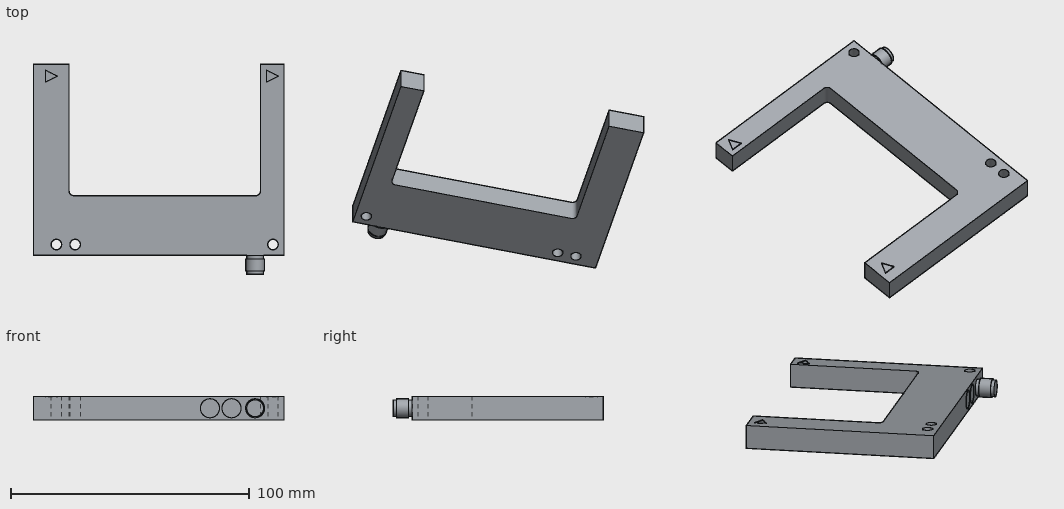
import cadquery as cq

length = 105.0
overall_depth = 88.0
body_depth = 80.0
thickness = 10.0
left_arm_width = 15.0
right_arm_width = 10.0
gap_depth = 55.0
gap_corner_radius = 2.0

hole_diameter = 4.3
hole_x_positions = (9.7, 17.5, 100.3)
hole_y = 4.5

connector_x = 92.8
neck_diameter = 7.0
collar_diameter = 8.0
collar_length = 5.0
neck_length = (overall_depth - body_depth - collar_length) / 2
connector_steps = (
    (neck_diameter, neck_length),
    (collar_diameter, collar_length),
    (neck_diameter, neck_length),
)

recess_diameter = 8.0
recess_x_positions = (73.9, 83.0)
recess_depth = 0.2

triangle_size = 5.0
left_triangle_inset = 5.0
right_triangle_inset = 2.5
triangle_x_positions = (left_triangle_inset, length - right_arm_width + right_triangle_inset)
triangle_tip_distance = 5.0
triangle_center_y = body_depth - triangle_tip_distance
triangle_depth = 0.3


def make_body():
    """U-shaped plate with rounded inner corners."""
    plate = cq.Workplane("XY").box(length, body_depth, thickness, centered=(False, False, True))
    gap_width = length - left_arm_width - right_arm_width
    gap = (
        cq.Workplane("XY")
        .box(gap_width, gap_depth, thickness, centered=(False, False, True))
        .edges("|Z and <Y")
        .fillet(gap_corner_radius)
        .translate((left_arm_width, body_depth - gap_depth, 0))
    )
    return plate.cut(gap)


def y_cylinder(diameter, height, x, y_start):
    """Cylinder whose axis runs along +Y from y_start."""
    axis_start = cq.Vector(x, y_start, 0)
    return cq.Workplane(cq.Solid.makeCylinder(diameter / 2, height, axis_start, cq.Vector(0, 1, 0)))


def make_connector():
    """Stepped cylinder built outwards from the front face."""
    connector = cq.Workplane("XY")
    y_end = 0.0
    for diameter, step_length in connector_steps:
        y_end -= step_length
        connector = connector.union(y_cylinder(diameter, step_length, connector_x, y_end))
    return connector


def make_triangle(x):
    """Cutter for one engraved triangle with its upright edge at x."""
    return (
        cq.Workplane("XY", origin=(x, triangle_center_y, thickness / 2))
        .moveTo(0, -triangle_size / 2)
        .lineTo(triangle_size, 0)
        .lineTo(0, triangle_size / 2)
        .close()
        .extrude(-triangle_depth)
    )


result = make_body()

for x in hole_x_positions:
    hole = cq.Workplane("XY").center(x, hole_y).circle(hole_diameter / 2).extrude(thickness, both=True)
    result = result.cut(hole)

for x in recess_x_positions:
    result = result.cut(y_cylinder(recess_diameter, recess_depth, x, 0))

for x in triangle_x_positions:
    result = result.cut(make_triangle(x))

result = result.union(make_connector())